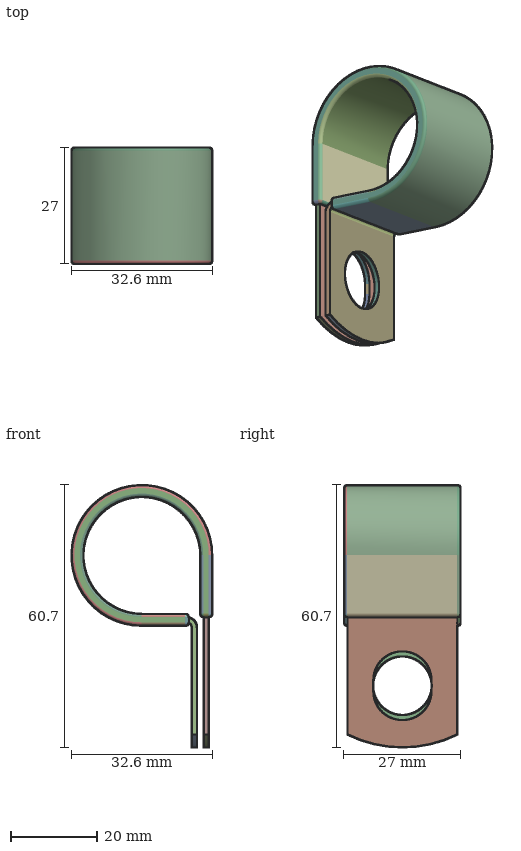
import cadquery as cq
import math

bore_radius = 13.495
strap_thickness = 1.27
cushion_wall = 0.765
cushion_width = 26.99
tab_gap = 1.5
bend_outer_radius = 2.4
lower_leg_length = 10.85
upright_leg_length = 14.3
tab_bottom_z = -44.425
tab_end_sagitta = 3.0
hole_diameter = 13.495
slot_length = 15.9
hole_to_tab_bottom = 14.29

loop_mid_angle = 135
bend_mid_angle = 45
vertical_angle = 90

strap_inner_radius = bore_radius + cushion_wall
strap_outer_radius = strap_inner_radius + strap_thickness
cushion_outer_radius = strap_outer_radius + cushion_wall
strap_width = cushion_width - 2 * cushion_wall
inner_tab_outer_x = strap_inner_radius - tab_gap
inner_tab_inner_x = inner_tab_outer_x - strap_thickness
bend_inner_radius = bend_outer_radius - strap_thickness
bend_center_x = inner_tab_outer_x - bend_outer_radius
bend_center_z = -strap_inner_radius - bend_outer_radius
tab_side_z = tab_bottom_z + tab_end_sagitta
hole_z = tab_bottom_z + hole_to_tab_bottom


def point_on_circle(center_x, center_z, radius, degrees):
    """Point in the XZ plane on a circle around (center_x, center_z)."""
    angle = math.radians(degrees)
    return (center_x + radius * math.cos(angle), center_z + radius * math.sin(angle))


def extrude_centered(profile, width):
    """Extrude an XZ profile by equal amounts to both sides of Y = 0."""
    return profile.extrude(width / 2, both=True)


def face_nearest(body, point):
    """Select the face whose centre is closest to the point."""
    return body.faces(cq.selectors.NearestToPointSelector(point))


def make_cushion():
    """Three-quarter loop with a lower leg and an upright leg, all edges rounded."""
    profile = (
        cq.Workplane("XZ")
        .moveTo(lower_leg_length, -cushion_outer_radius)
        .lineTo(0, -cushion_outer_radius)
        .threePointArc(point_on_circle(0, 0, cushion_outer_radius, loop_mid_angle), (cushion_outer_radius, 0))
        .lineTo(cushion_outer_radius, -upright_leg_length)
        .lineTo(bore_radius, -upright_leg_length)
        .lineTo(bore_radius, 0)
        .threePointArc(point_on_circle(0, 0, bore_radius, loop_mid_angle), (0, -bore_radius))
        .lineTo(lower_leg_length, -bore_radius)
        .close()
    )
    cushion = extrude_centered(profile, cushion_width)
    strap_mid_radius = (strap_inner_radius + strap_outer_radius) / 2
    lower_end = face_nearest(cushion, (lower_leg_length, 0, -strap_mid_radius))
    upright_end = face_nearest(cushion, (strap_mid_radius, 0, -upright_leg_length))
    rim_edges = cushion.faces("|Y").edges()
    return rim_edges.add(lower_end.edges()).add(upright_end.edges()).fillet(cushion_wall)


def make_strap():
    """Metal strip through the cushion, ending in two parallel tabs."""
    profile = (
        cq.Workplane("XZ")
        .moveTo(inner_tab_inner_x, tab_bottom_z)
        .lineTo(inner_tab_inner_x, bend_center_z)
        .threePointArc(
            point_on_circle(bend_center_x, bend_center_z, bend_inner_radius, bend_mid_angle),
            (bend_center_x, -strap_outer_radius),
        )
        .lineTo(0, -strap_outer_radius)
        .threePointArc(point_on_circle(0, 0, strap_outer_radius, loop_mid_angle), (strap_outer_radius, 0))
        .lineTo(strap_outer_radius, tab_bottom_z)
        .lineTo(strap_inner_radius, tab_bottom_z)
        .lineTo(strap_inner_radius, 0)
        .threePointArc(point_on_circle(0, 0, strap_inner_radius, loop_mid_angle), (0, -strap_inner_radius))
        .lineTo(bend_center_x, -strap_inner_radius)
        .threePointArc(
            point_on_circle(bend_center_x, bend_center_z, bend_outer_radius, bend_mid_angle),
            (inner_tab_outer_x, bend_center_z),
        )
        .lineTo(inner_tab_outer_x, tab_bottom_z)
        .close()
    )
    return extrude_centered(profile, strap_width)


def make_tab_outline():
    """Strap-wide prism along X whose lower end is a shallow arc."""
    half_width = strap_width / 2
    return (
        cq.Workplane("YZ")
        .moveTo(-half_width, cushion_outer_radius)
        .lineTo(-half_width, tab_side_z)
        .threePointArc((0, tab_bottom_z), (half_width, tab_side_z))
        .lineTo(half_width, cushion_outer_radius)
        .close()
        .extrude(cushion_outer_radius, both=True)
    )


def make_round_hole():
    """Cylinder along X through the inner tab."""
    return (
        cq.Workplane("YZ", origin=(inner_tab_inner_x, 0, hole_z))
        .circle(hole_diameter / 2)
        .extrude(strap_thickness)
    )


def make_slot():
    """Upright slot along X through the outer tab, centred on the round hole."""
    return (
        cq.Workplane("YZ", origin=(strap_inner_radius, 0, hole_z))
        .slot2D(slot_length, hole_diameter, vertical_angle)
        .extrude(strap_thickness)
    )


strap = make_strap().intersect(make_tab_outline()).cut(make_round_hole()).cut(make_slot())
result = make_cushion().union(strap)